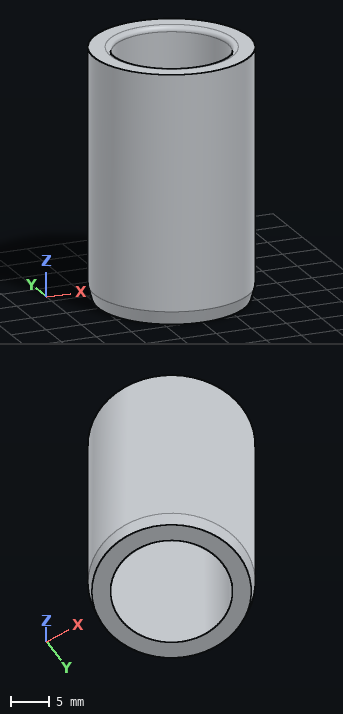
import cadquery as cq
import math

outer_diameter = 22.0
bore_diameter = 16.0
length = 35.0

lead_in_height = 2.0
lead_in_angle = 15.0

mouth_radius = 0.75

outer_radius = outer_diameter / 2
bore_radius = bore_diameter / 2
lead_in_depth = lead_in_height * math.tan(math.radians(lead_in_angle))


def make_sleeve():
    """Revolve the wall section about Z, with the lower end on Z = 0."""
    wall_section = (
        cq.Workplane("XZ")
        .moveTo(bore_radius, 0)
        .lineTo(outer_radius - lead_in_depth, 0)
        .lineTo(outer_radius, lead_in_height)
        .lineTo(outer_radius, length)
        .lineTo(bore_radius + mouth_radius, length)
        .radiusArc((bore_radius, length - mouth_radius), -mouth_radius)
        .close()
    )
    return wall_section.revolve(360, (0, 0, 0), (0, 1, 0))


result = make_sleeve()